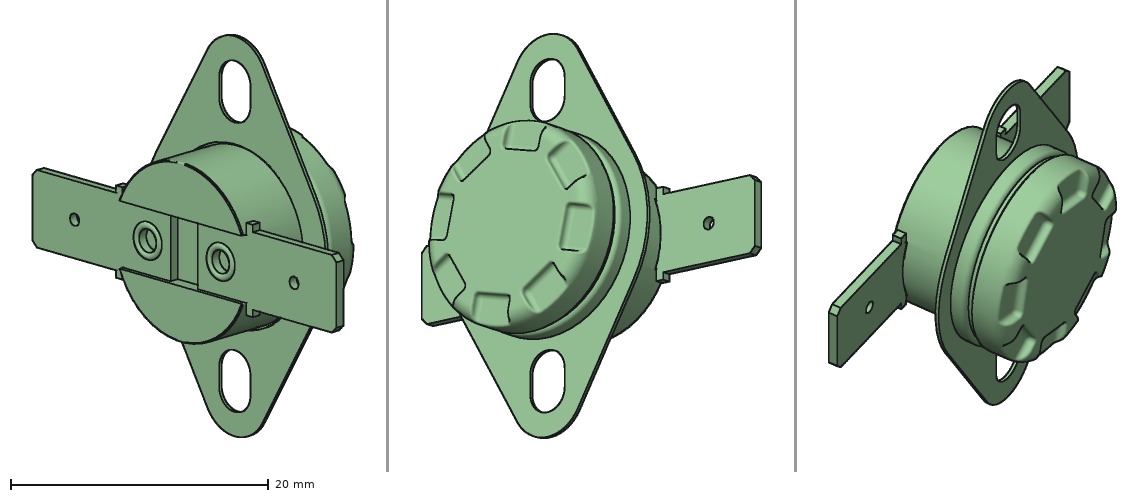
import cadquery as cq
import math


cap_radius = 16.5 / 2
cap_height = 5.2
cap_edge_round = 1.2
cap_rim_height = 1.0

groove_floor_radius = 15.7 / 2
groove_depth = cap_radius - groove_floor_radius
groove_floor_width = 0.4

notch_count = 8
notch_first_angle = 13.5
notch_width = 3.65
notch_depth = 0.8
notch_wall_radius = 5.75
notch_corner_round = 0.4
notch_rim_round = 0.2

plate_thickness = 0.3
plate_radius = 9.95
plate_half_height = 32.5 / 2
plate_tip_radius = 3.5
plate_tip_z = plate_half_height - plate_tip_radius
plate_bore_diameter = 15.0
plate_slot_length = 5.0
plate_slot_width = 3.42
plate_slot_z = 11.75

housing_diameter = 14.6
housing_length = 5.98 + plate_thickness
housing_edge_round = 0.1
housing_slot_width = 5.5
housing_slot_depth = 1.2
slot_floor_y = housing_slot_depth - housing_length

terminal_tip_x = 16.6
terminal_inner_x = 1.5
terminal_width = 6.3
terminal_thickness = 0.8
terminal_tip_chamfer = 0.5
shoulder_width = 7.5
shoulder_length = 0.7
shoulder_inner_x = math.sqrt((housing_diameter / 2) ** 2 - (housing_slot_width / 2) ** 2)
terminal_hole_x = 12.0
terminal_hole_diameter = 1.0

rivet_x = 4.0
rivet_shank_diameter = 2.5
rivet_bore_diameter = 1.9
rivet_head_diameter = 2 * rivet_shank_diameter - rivet_bore_diameter
rivet_head_height = 0.2


def front_plane(y=0):
    """Workplane at height y whose local axes are X and Z and whose normal points to -Y."""
    return cq.Workplane("XZ", origin=(0, y, 0))


def make_notch_cutter():
    """Rounded block that cuts the notch at the +Z side of the cap."""
    radial_length = cap_radius
    axial_length = 2 * notch_depth
    return (
        cq.Workplane("XY")
        .box(notch_width, axial_length, radial_length, centered=(True, False, False))
        .edges("(|Y and <Z) or (<Y and (not >Z))")
        .fillet(notch_corner_round)
        .translate((0, cap_height - notch_depth, notch_wall_radius))
    )


def is_notch_rim(edge):
    """True for an edge where a notch meets the back face or the rounded back edge of the cap."""
    tolerance = 0.0003
    flat_radius = cap_radius - cap_edge_round
    round_y = cap_height - cap_edge_round
    for step in (0.1, 0.5, 0.9):
        point = edge.positionAt(step)
        radius = math.hypot(point.x, point.z)
        on_back = abs(point.y - cap_height) < tolerance and radius < flat_radius - tolerance
        from_round = math.hypot(radius - flat_radius, point.y - round_y) - cap_edge_round
        on_round = abs(from_round) < tolerance and round_y + tolerance < point.y < cap_height - tolerance
        if not (on_back or on_round):
            return False
    return True


def make_cap():
    groove_start = cap_rim_height
    floor_start = groove_start + groove_depth
    floor_end = floor_start + groove_floor_width
    groove_end = floor_end + groove_depth
    diagonal = groove_depth * math.sqrt(0.5)
    lip_radius = cap_radius - groove_depth + diagonal
    cap = (
        cq.Workplane("XY")
        .lineTo(cap_radius, 0)
        .lineTo(cap_radius, groove_start)
        .threePointArc((lip_radius, groove_start + diagonal), (groove_floor_radius, floor_start))
        .lineTo(groove_floor_radius, floor_end)
        .threePointArc((lip_radius, groove_end - diagonal), (cap_radius, groove_end))
        .lineTo(cap_radius, cap_height)
        .lineTo(0, cap_height)
        .close()
        .revolve(360, (0, 0, 0), (0, 1, 0))
        .faces(">Y")
        .edges()
        .fillet(cap_edge_round)
    )
    cutter = make_notch_cutter()
    for index in range(notch_count):
        angle = -notch_first_angle + index * 360 / notch_count
        cap = cap.cut(cutter.rotate((0, 0, 0), (0, 1, 0), angle))
    rim_edges = [edge for edge in cap.edges().vals() if is_notch_rim(edge)]
    return cap.newObject(rim_edges).fillet(notch_rim_round)


def make_plate():
    side_sine = (plate_radius - plate_tip_radius) / plate_tip_z
    side_cosine = math.sqrt(1 - side_sine**2)
    side_x = plate_radius * side_cosine
    side_z = plate_radius * side_sine
    tip_x = plate_tip_radius * side_cosine
    tip_z = plate_tip_z + plate_tip_radius * side_sine
    return (
        front_plane()
        .moveTo(side_x, -side_z)
        .threePointArc((plate_radius, 0), (side_x, side_z))
        .lineTo(tip_x, tip_z)
        .threePointArc((0, plate_half_height), (-tip_x, tip_z))
        .lineTo(-side_x, side_z)
        .threePointArc((-plate_radius, 0), (-side_x, -side_z))
        .lineTo(-tip_x, -tip_z)
        .threePointArc((0, -plate_half_height), (tip_x, -tip_z))
        .close()
        .circle(plate_bore_diameter / 2)
        .pushPoints([(0, plate_slot_z), (0, -plate_slot_z)])
        .slot2D(plate_slot_length, plate_slot_width, 90)
        .extrude(plate_thickness)
    )


def make_housing():
    body = front_plane().circle(housing_diameter / 2).extrude(housing_length)
    slot = front_plane(slot_floor_y).rect(housing_diameter, housing_slot_width).extrude(housing_slot_depth)
    housing = body.cut(slot)
    return housing.edges("(not |X) and (not >Y)").fillet(housing_edge_round)


def make_terminal(side):
    """Terminal blade on the +X side (side = 1) or the -X side (side = -1)."""
    shoulder_outer_x = shoulder_inner_x + shoulder_length
    half_outline = [
        (terminal_inner_x, housing_slot_width / 2),
        (shoulder_inner_x, housing_slot_width / 2),
        (shoulder_inner_x, shoulder_width / 2),
        (shoulder_outer_x, shoulder_width / 2),
        (shoulder_outer_x, terminal_width / 2),
        (terminal_tip_x - terminal_tip_chamfer, terminal_width / 2),
        (terminal_tip_x, terminal_width / 2 - terminal_tip_chamfer),
    ]
    upper = [(side * x, z) for x, z in half_outline]
    lower = [(x, -z) for x, z in reversed(upper)]
    return (
        front_plane(slot_floor_y)
        .polyline(upper + lower)
        .close()
        .pushPoints([(side * terminal_hole_x, 0)])
        .circle(terminal_hole_diameter / 2)
        .pushPoints([(side * rivet_x, 0)])
        .circle(rivet_shank_diameter / 2)
        .extrude(terminal_thickness)
    )


def make_rivet(side):
    """Tubular rivet with a rounded head, standing on the slot floor in its terminal."""
    bore_radius = rivet_bore_diameter / 2
    shank_radius = rivet_shank_diameter / 2
    head_radius = rivet_head_diameter / 2
    terminal_front_y = slot_floor_y - terminal_thickness
    return (
        cq.Workplane("XY")
        .moveTo(bore_radius, slot_floor_y)
        .lineTo(shank_radius, slot_floor_y)
        .lineTo(shank_radius, terminal_front_y)
        .lineTo(head_radius, terminal_front_y)
        .threePointArc((shank_radius, terminal_front_y - rivet_head_height), (bore_radius, terminal_front_y))
        .close()
        .revolve(360, (0, 0, 0), (0, 1, 0))
        .translate((side * rivet_x, 0, 0))
    )


cap = make_cap()
plate = make_plate()
housing = make_housing()
terminals = [make_terminal(side).val() for side in (-1, 1)]
rivets = [make_rivet(side).val() for side in (-1, 1)]

result = cq.Compound.makeCompound([cap.val(), plate.val(), housing.val(), *terminals, *rivets])